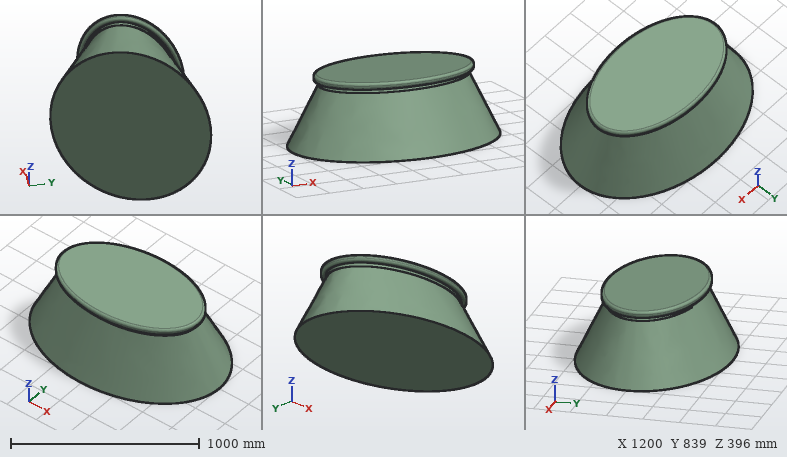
import cadquery as cq

base_length = 1200.0
base_width = 839.0
total_height = 396.0

skirt_height = 336.0
skirt_inset = 168.0

rim_underside = 358.0
neck_depth = 6.0

rim_overhang = 25.0
rim_top_round = 15.0
rim_bottom_round = 15.0

moulding_overlap = 36.0
core_inset = 18.0

skirt_top_x = base_length / 2 - skirt_inset
skirt_top_y = base_width / 2 - skirt_inset


def make_skirt():
    """Straight-sided flare between two concentric ellipses."""
    return (
        cq.Workplane("XY")
        .ellipse(base_length / 2, base_width / 2)
        .workplane(offset=skirt_height)
        .ellipse(skirt_top_x, skirt_top_y)
        .loft(ruled=True, combine=True)
    )


def make_core():
    """Elliptical plug that fills the inside of the neck and rim."""
    return (
        cq.Workplane("XY")
        .ellipse(skirt_top_x - core_inset, skirt_top_y - core_inset)
        .extrude(total_height)
    )


def make_moulding():
    """Neck and rim section carried around the top ellipse of the skirt."""
    path = cq.Workplane("XY", origin=(0, 0, skirt_height)).ellipse(skirt_top_x, skirt_top_y)
    rim_x = skirt_top_x + rim_overhang
    inner_x = skirt_top_x - moulding_overlap
    neck_middle = (skirt_height + rim_underside) / 2
    quarter = 0.5 ** 0.5
    bottom_round_center = (rim_x - rim_bottom_round, rim_underside + rim_bottom_round)
    top_round_center = (rim_x - rim_top_round, total_height - rim_top_round)
    section = (
        cq.Workplane("XZ")
        .moveTo(inner_x, skirt_height)
        .lineTo(skirt_top_x, skirt_height)
        .threePointArc((skirt_top_x - neck_depth, neck_middle), (skirt_top_x, rim_underside))
        .lineTo(bottom_round_center[0], rim_underside)
        .threePointArc(
            (
                bottom_round_center[0] + rim_bottom_round * quarter,
                bottom_round_center[1] - rim_bottom_round * quarter,
            ),
            (rim_x, bottom_round_center[1]),
        )
        .lineTo(rim_x, top_round_center[1])
        .threePointArc(
            (
                top_round_center[0] + rim_top_round * quarter,
                top_round_center[1] + rim_top_round * quarter,
            ),
            (top_round_center[0], total_height),
        )
        .lineTo(inner_x, total_height)
        .close()
    )
    return section.sweep(path)


result = make_skirt().union(make_core()).union(make_moulding()).clean()